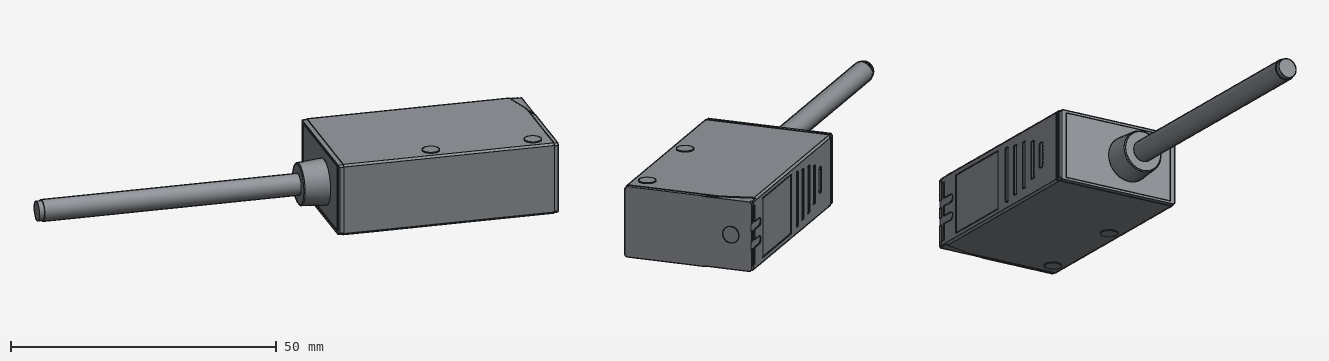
import cadquery as cq

body_width = 25.7
body_back = 49.5
body_front = 6.5
body_height = 14.2
long_edge_chamfer = 0.4
front_band_length = 1.0
back_band_length = 0.8
band_step = 0.1
panel_side_margin = 1.3
panel_edge_margin = 0.6
panel_depth = 0.1
front_corner_chamfer = 0.3

body_left = -body_width / 2
body_length = body_back - body_front

disc_diameter = 3.3
disc_height = 0.2
fixing_x = 9.8
fixing_ys = (25.3, 45.3)
lens_x = -8.6

wedge_side_length = 2.5
wedge_back_length = 9.9
wedge_depth = 0.2

side_recess_depth = 0.2
label_front = 28.6
label_back = 43.6
label_height = 11.7
round_end_ratio = 0.49
rear_slot_width = 1.6
rear_slot_z = 1.8
rear_slot_front = 44.7
grip_back_y = 25.5
grip_front_y = 13.4
grip_width = 1.0
grip_end_width = 1.3
grip_heights = (11.1, 9.9, 9.3, 7.5, 5.2)
last_grip = len(grip_heights) - 1
grip_pitch = (grip_back_y - grip_front_y) / last_grip
rounded_grips = (0, last_grip)

window_front = 47.8
window_height = 11.7

front_groove_width = 0.6

cable_x = 2.4
gland_base_radius = 4.5
gland_end_radius = 4.1
gland_back = body_front + panel_depth
gland_front = 1.5
gland_chamfer = 0.2
cable_radius = 2.1
cable_end = -49.65
cable_tip_length = 1.0
cable_tip_radius = 1.9


def housing():
    """Block with bevelled long edges, a band stepped in at each end and a sunk front panel."""
    core_length = body_length - front_band_length - back_band_length
    core_back = body_back - back_band_length
    core = (
        cq.Workplane("XZ", origin=(0, core_back, 0))
        .rect(body_width, body_height)
        .extrude(core_length)
        .edges("|Y")
        .chamfer(long_edge_chamfer)
    )
    bands = (
        cq.Workplane("XZ", origin=(0, body_back, 0))
        .rect(body_width - 2 * band_step, body_height - 2 * band_step)
        .extrude(body_length)
        .edges("|Y")
        .chamfer(long_edge_chamfer)
        .faces("<Y")
        .edges("|Z")
        .chamfer(front_corner_chamfer)
    )
    panel = (
        cq.Workplane("XZ", origin=(0, body_front + panel_depth, 0))
        .rect(body_width - 2 * panel_side_margin, body_height - 2 * panel_edge_margin)
        .extrude(panel_depth)
    )
    return core.union(bands).cut(panel)


def corner_wedge(side):
    """Triangular step on the top (side = 1) or bottom (side = -1)."""
    return (
        cq.Workplane("XY", origin=(0, 0, side * (body_height / 2 - wedge_depth)))
        .moveTo(body_left, body_back)
        .lineTo(body_left, body_back - wedge_side_length)
        .lineTo(body_left + wedge_back_length, body_back)
        .close()
        .extrude(side * wedge_depth)
    )


def side_recess(y, z, length, height, corner_radius=0):
    """Shallow cutter on the left face, optionally with rounded corners."""
    cutter = cq.Workplane("XY").box(2 * side_recess_depth, length, height).translate((body_left, y, z))
    if corner_radius:
        cutter = cutter.edges("|X").fillet(corner_radius)
    return cutter


def fixing_discs(y):
    """Pair of raised discs, one on the top and one on the bottom."""
    return (
        cq.Workplane("XY", origin=(fixing_x, y, 0))
        .circle(disc_diameter / 2)
        .extrude(body_height / 2 + disc_height, both=True)
    )


def cable_axis_cylinder(start_y, end_y, radius):
    """Cylinder on the cable axis running towards -Y."""
    return cq.Workplane("XZ", origin=(cable_x, start_y, 0)).circle(radius).extrude(start_y - end_y)


result = housing()

for side in (1, -1):
    result = result.cut(corner_wedge(side))

result = result.cut(
    side_recess((label_front + label_back) / 2, 0, label_back - label_front, label_height)
)

window_back = body_back - back_band_length
result = result.cut(
    side_recess((window_front + window_back) / 2, 0, window_back - window_front, window_height)
)

groove_y = body_front + front_band_length + front_groove_width / 2
result = result.cut(side_recess(groove_y, 0, front_groove_width, body_height))

slot_length = 2 * (body_back - rear_slot_front)
for z in (rear_slot_z, -rear_slot_z):
    result = result.cut(
        side_recess(body_back, z, slot_length, rear_slot_width, round_end_ratio * rear_slot_width)
    )

for index, height in enumerate(grip_heights):
    width = grip_end_width if index == last_grip else grip_width
    radius = round_end_ratio * width if index in rounded_grips else 0
    result = result.cut(side_recess(grip_back_y - index * grip_pitch, 0, width, height, radius))

for y in fixing_ys:
    result = result.union(fixing_discs(y))

lens = (
    cq.Workplane("XZ", origin=(lens_x, body_back, 0))
    .circle(disc_diameter / 2)
    .extrude(-disc_height)
)
gland = (
    cq.Workplane("XZ", origin=(cable_x, gland_back, 0))
    .circle(gland_base_radius)
    .workplane(offset=gland_back - gland_front)
    .circle(gland_end_radius)
    .loft()
    .faces("<Y")
    .chamfer(gland_chamfer)
)
result = (
    result.union(lens)
    .union(gland)
    .union(cable_axis_cylinder(gland_front, cable_end + cable_tip_length, cable_radius))
    .union(cable_axis_cylinder(gland_front, cable_end, cable_tip_radius))
)